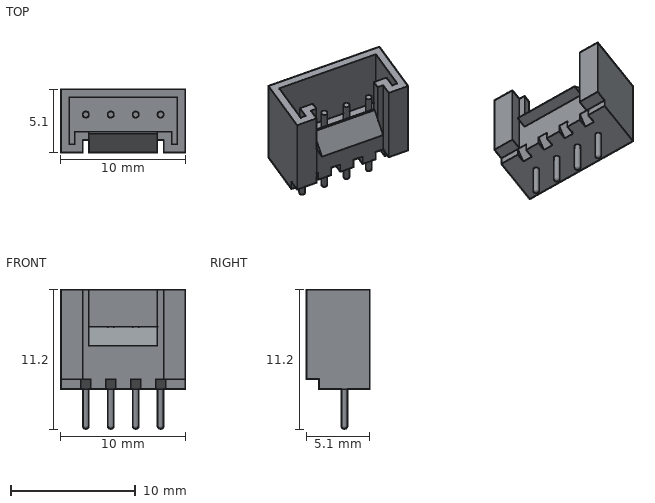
import cadquery as cq

length = 10.0
depth = 5.1
height = 8.0
wall = 0.65
back_y = 2.05
front_y = back_y - depth
floor_z = 2.65

recess_depth = 1.0
recess_half = 3.25
wall_face_y = front_y + recess_depth
wall_inner_y = wall_face_y + wall
hook_half = recess_half + wall
step_height = 0.8

window_width = 5.5
sill_z = 5.0
sill_depth = 0.15
ramp_drop = 1.5
ramp_base_z = sill_z - ramp_drop

pin_count = 4
pin_pitch = 2.0
pin_radius = 0.25
pin_top_z = 5.0
pin_bottom_z = -3.2
notch_width = 0.8
notch_height = step_height
notch_run = notch_height

pin_positions = [(i - (pin_count - 1) / 2) * pin_pitch for i in range(pin_count)]


def box(x0, x1, y0, y1, z0, z1):
    """Axis-aligned box between two opposite corners."""
    return cq.Workplane("XY").box(x1 - x0, y1 - y0, z1 - z0, centered=False).translate((x0, y0, z0))


def side_prism(points, width, x_centre=0.0):
    """Outline of (y, z) points extruded along X, centred on x_centre."""
    prism = cq.Workplane("YZ").polyline(points).close().extrude(width / 2, both=True)
    return prism.translate((x_centre, 0, 0))


def make_shell():
    """Open-topped housing: hooked arms, and a window cut down to the foot of the ramp."""
    half = length / 2
    inner_half = half - wall
    body = box(-half, half, front_y, back_y, 0, height)
    recess = box(-recess_half, recess_half, front_y, wall_face_y, 0, height)
    step = box(-half, half, front_y, wall_face_y, 0, step_height)
    cavity = box(-inner_half, inner_half, front_y + wall, back_y - wall, floor_z, height)
    front_wall = box(-hook_half, hook_half, front_y, wall_inner_y, floor_z, height)
    window = box(-window_width / 2, window_width / 2, front_y, wall_inner_y, ramp_base_z, height)
    return body.cut(recess).cut(step).cut(cavity.cut(front_wall)).cut(window)


def make_latch_ramp():
    """Wedge sloping forward and down from the window sill to the front plane."""
    ramp_top_y = wall_inner_y - sill_depth
    outline = [
        (front_y, ramp_base_z),
        (wall_inner_y, ramp_base_z),
        (wall_inner_y, sill_z),
        (ramp_top_y, sill_z),
    ]
    return side_prism(outline, window_width)


def make_notch(x):
    """Bevel-shaped cut in the lower front edge, in line with a pin."""
    outline = [
        (wall_face_y, 0),
        (wall_face_y + notch_run, 0),
        (wall_face_y, notch_height),
    ]
    return side_prism(outline, notch_width, x)


def make_pin(x):
    """Round pin with a flat top and a hemispherical lower tip."""
    pin = cq.Workplane("XY", origin=(x, 0, pin_bottom_z + pin_radius)).sphere(pin_radius)
    shank_length = pin_top_z - pin_bottom_z - pin_radius
    shank = cq.Workplane("XY", origin=(x, 0, pin_bottom_z + pin_radius)).circle(pin_radius).extrude(shank_length)
    return pin.union(shank)


result = make_shell().union(make_latch_ramp())
for pin_x in pin_positions:
    result = result.cut(make_notch(pin_x)).union(make_pin(pin_x))